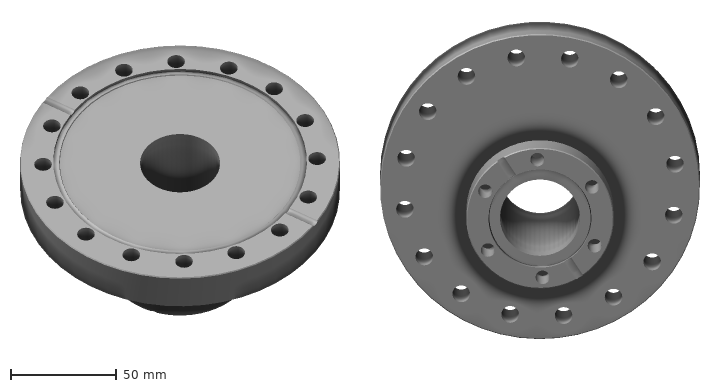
import cadquery as cq

total_height = 70.0
edge_chamfer = 0.5
bore_diameter = 38.0
tube_diameter = 41.0
weld_inset = 3.0

large_diameter = 152.0
large_thickness = 20.0
large_base_z = total_height - large_thickness
gasket_diameter = 120.5
knife_diameter = 114.9
floor_diameter = 114.3
knife_depth = 0.8
floor_depth = 1.2
slope_depth = 1.8
large_bolt_count = 16
large_bolt_circle = 130.3
large_bolt_diameter = 8.4

small_diameter = 70.0
small_thickness = 12.9
insert_diameter = 48.0
ring_bore_diameter = 49.0
ring_clearance = ring_bore_diameter - insert_diameter
shoulder_thickness = 3.8
small_bolt_count = 6
small_bolt_circle = 58.7
small_bolt_diameter = 6.7
small_groove_angle = 101.25

groove_width = 4.1
groove_depth = 0.9
groove_radius = ((groove_width / 2) ** 2 + groove_depth ** 2) / (2 * groove_depth)

large_floor_z = total_height - floor_depth
tube_bottom_z = floor_depth + weld_inset
tube_top_z = large_floor_z - weld_inset
shoulder_z = small_thickness - shoulder_thickness


def cylinder(diameter, bottom_z, top_z):
    """Vertical cylinder on the Z axis."""
    return cq.Workplane("XY").workplane(offset=bottom_z).circle(diameter / 2).extrude(top_z - bottom_z)


def flange_disc(diameter, bottom_z, top_z):
    """Disc with both outer edges chamfered."""
    return cylinder(diameter, bottom_z, top_z).edges().chamfer(edge_chamfer)


def bolt_holes(count, circle_diameter, hole_diameter, first_angle, bottom_z, top_z):
    """Cutters for a ring of through holes."""
    return (
        cq.Workplane("XY")
        .workplane(offset=bottom_z)
        .polarArray(circle_diameter / 2, first_angle, 360, count)
        .circle(hole_diameter / 2)
        .extrude(top_z - bottom_z)
    )


def leak_grooves(inner_diameter, outer_diameter, axis_z, angle):
    """Cutters for two opposite radial grooves, from the gasket recess to the rim."""
    rod = (
        cq.Workplane("YZ")
        .center(0, axis_z)
        .circle(groove_radius)
        .extrude(outer_diameter / 2, both=True)
    )
    core = cylinder(inner_diameter, axis_z - 2 * groove_radius, axis_z + 2 * groove_radius)
    return rod.cut(core).rotate((0, 0, 0), (0, 0, 1), angle)


def sealing_recess():
    """Revolved cutter that leaves a conical knife edge standing in the gasket recess."""
    profile = [
        (0, total_height),
        (gasket_diameter / 2, total_height),
        (gasket_diameter / 2, total_height - slope_depth),
        (knife_diameter / 2, total_height - knife_depth),
        (floor_diameter / 2, large_floor_z),
        (0, large_floor_z),
    ]
    return cq.Workplane("XZ").polyline(profile).close().revolve(360, (0, 0, 0), (0, 1, 0))


def make_large_flange():
    half_pitch = 180 / large_bolt_count
    return (
        flange_disc(large_diameter, large_base_z, total_height)
        .cut(sealing_recess())
        .cut(cylinder(bore_diameter, large_base_z, total_height))
        .cut(cylinder(tube_diameter, large_base_z, tube_top_z))
        .cut(bolt_holes(large_bolt_count, large_bolt_circle, large_bolt_diameter,
                        half_pitch, large_base_z, total_height))
        .cut(leak_grooves(gasket_diameter, large_diameter,
                          total_height - groove_depth + groove_radius, 0))
    )


def make_tube():
    return (
        cylinder(tube_diameter, tube_bottom_z, tube_top_z)
        .cut(cylinder(bore_diameter, tube_bottom_z, tube_top_z))
    )


def make_small_ring():
    half_pitch = 180 / small_bolt_count
    return (
        flange_disc(small_diameter, 0, small_thickness)
        .cut(cylinder(ring_bore_diameter, 0, shoulder_z))
        .cut(cylinder(tube_diameter + ring_clearance, 0, small_thickness))
        .cut(bolt_holes(small_bolt_count, small_bolt_circle, small_bolt_diameter,
                        small_groove_angle + half_pitch, 0, small_thickness))
        .cut(leak_grooves(ring_bore_diameter, small_diameter,
                          groove_depth - groove_radius, small_groove_angle))
    )


def make_insert():
    """Insert bearing on the ring shoulder, with a socket for the tube end."""
    return (
        cylinder(insert_diameter, floor_depth, shoulder_z)
        .cut(cylinder(bore_diameter, floor_depth, shoulder_z))
        .cut(cylinder(tube_diameter, tube_bottom_z, shoulder_z))
    )


large_flange = make_large_flange()
tube = make_tube()
small_ring = make_small_ring()
insert = make_insert()

result = cq.Compound.makeCompound([
    large_flange.solids().val(),
    tube.solids().val(),
    small_ring.solids().val(),
    insert.solids().val(),
])